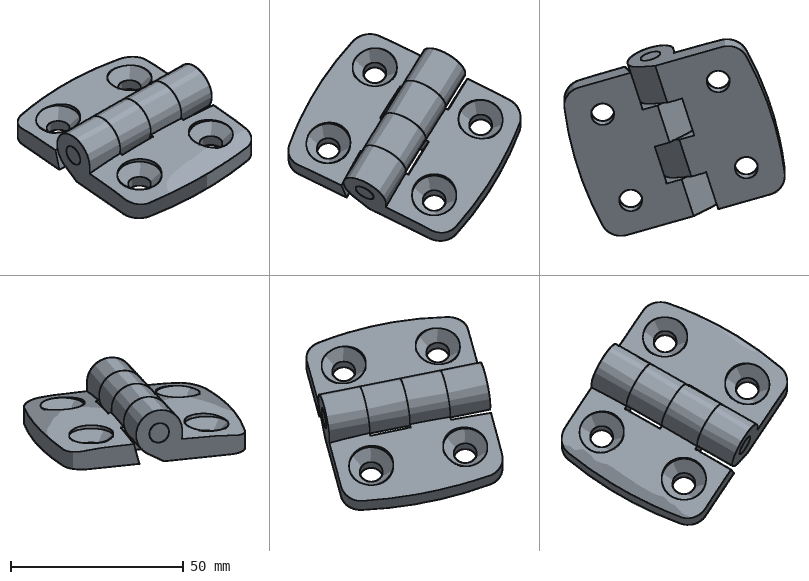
import cadquery as cq
import math

half_span = 58.6 / 2
width = 48.0
height = 15.95

knuckle_radius = 14.0 / 2
axis_z = height - knuckle_radius
knuckle_count = 4
knuckle_length = width / knuckle_count
pin_diameter = 5.9
bore_diameter = 6.0
underside_angle = 30.0

end_radius = 108.4
corner_radius = 6.0

clearance_foot = 6.0
clearance_angle = 15.0

screw_x = 17.5

crown_radius = 199.8
crown_inner_z = 7.8
crown_break_x = screw_x
crown_break_z = 7.6
crown_end_x = 29.9
crown_end_z = 5.3
crown_ring_bottom_z = -2.95

screw_y = 14.0
screw_diameter = 6.6
countersink_diameter = 12.9
countersink_rim_z = 6.45
countersink_depth = (countersink_diameter - screw_diameter) / 2


def bar_along_y(section, y_start, length):
    """Section drawn in the XZ plane by the given function, swept from y_start toward +Y."""
    plane = cq.Workplane("XZ", origin=(0, y_start, 0))
    return section(plane).extrude(-length)


def leaf_outline():
    """Flat blank with a bowed outer end and rounded outer corners."""
    half_width = width / 2
    corner_x = half_span - end_radius + math.sqrt(end_radius**2 - half_width**2)
    return (
        cq.Workplane("XY")
        .moveTo(clearance_foot, -half_width)
        .lineTo(corner_x, -half_width)
        .threePointArc((half_span, 0), (corner_x, half_width))
        .lineTo(clearance_foot, half_width)
        .close()
        .extrude(axis_z)
        .edges("|Z")
        .edges(">X")
        .fillet(corner_radius)
    )


def crown():
    """Ring whose outside is the domed top, turned about an axis parallel to X far below."""
    turning_z = crown_inner_z - crown_radius
    return (
        cq.Workplane("XZ")
        .moveTo(clearance_foot, crown_ring_bottom_z)
        .lineTo(clearance_foot, crown_inner_z)
        .lineTo(crown_break_x, crown_break_z)
        .tangentArcPoint((crown_end_x, crown_end_z), relative=False)
        .lineTo(crown_end_x, crown_ring_bottom_z)
        .close()
        .revolve(360, (0, turning_z, 0), (1, turning_z, 0))
    )


def knuckle_section(plane):
    """Round barrel, flat-sided toward the leaf and with a sloping flat underneath."""
    slope = math.radians(underside_angle)
    tangent_x = -knuckle_radius * math.sin(slope)
    tangent_z = axis_z - knuckle_radius * math.cos(slope)
    foot_x = tangent_x + tangent_z / math.tan(slope)
    return (
        plane.moveTo(knuckle_radius, 0)
        .lineTo(knuckle_radius, axis_z)
        .threePointArc((0, axis_z + knuckle_radius), (tangent_x, tangent_z))
        .lineTo(foot_x, 0)
        .close()
    )


def clearance_section(plane):
    """Space for a mating knuckle, ending at the leaning wall."""
    wall_top_x = clearance_foot + axis_z * math.tan(math.radians(clearance_angle))
    return (
        plane.moveTo(0, 0)
        .lineTo(clearance_foot, 0)
        .lineTo(wall_top_x, axis_z)
        .lineTo(0, axis_z)
        .close()
    )


def screw_holes():
    """Through hole, cone and straight recess above it, at both screw positions."""
    screw_radius = screw_diameter / 2
    rim_radius = countersink_diameter / 2
    cutter = (
        cq.Workplane("XZ")
        .lineTo(screw_radius, 0)
        .lineTo(screw_radius, countersink_rim_z - countersink_depth)
        .lineTo(rim_radius, countersink_rim_z)
        .lineTo(rim_radius, axis_z)
        .lineTo(0, axis_z)
        .close()
        .revolve()
    )
    near_hole = cutter.translate((screw_x, -screw_y, 0))
    far_hole = cutter.translate((screw_x, screw_y, 0))
    return near_hole.union(far_hole)


def pin_cylinder(diameter):
    """Cylinder on the hinge axis over the full width."""
    return bar_along_y(lambda plane: plane.center(0, axis_z).circle(diameter / 2), -width / 2, width)


def leaf():
    """Leaf on the +X side; its knuckles alternate with clearances, starting at -Y."""
    body = leaf_outline().intersect(crown())
    for index in range(knuckle_count):
        y_start = -width / 2 + index * knuckle_length
        if index % 2 == 0:
            body = body.union(bar_along_y(knuckle_section, y_start, knuckle_length))
        else:
            body = body.cut(bar_along_y(clearance_section, y_start, knuckle_length))
    return body.cut(screw_holes()).cut(pin_cylinder(bore_diameter))


pin = pin_cylinder(pin_diameter)

leaves = []
for turn in (0, 180):
    leaves.append(leaf().rotate((0, 0, 0), (0, 0, 1), turn).val())

result = cq.Compound.makeCompound([*leaves, pin.val()])